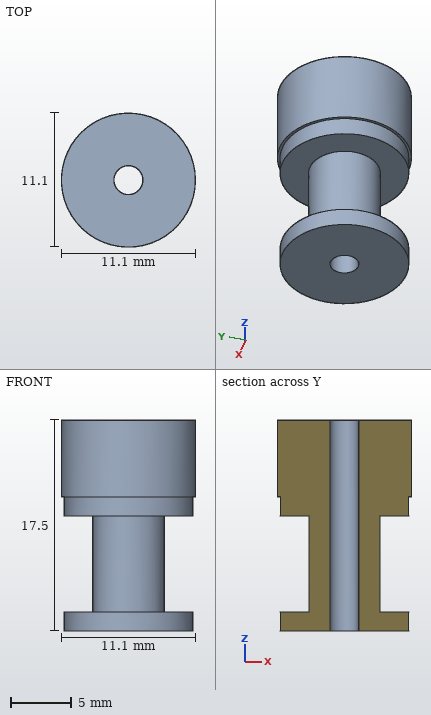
import cadquery as cq

total_height = 17.48
height_divisions = 11
head_diameter = 11.12
flange_diameter = 10.68
neck_diameter = 5.96
bore_diameter = 2.38

module = total_height / height_divisions
flange_height = module
neck_height = 5 * module
collar_height = module
head_height = 4 * module


def add_step(body, diameter, height):
    """Stack a concentric cylinder on the top face of the body."""
    return body.faces(">Z").workplane().circle(diameter / 2).extrude(height)


spool = cq.Workplane("XY").circle(flange_diameter / 2).extrude(flange_height)
spool = add_step(spool, neck_diameter, neck_height)
spool = add_step(spool, flange_diameter, collar_height)
spool = add_step(spool, head_diameter, head_height)

result = spool.faces(">Z").workplane().hole(bore_diameter)